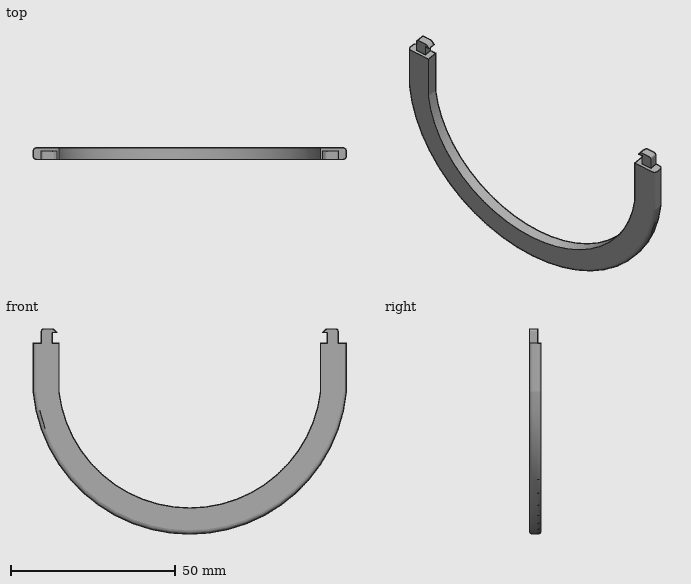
import cadquery as cq

width = 95.3
thickness = 3.6
height = 62.4

half_width = width / 2
leg_width = 7.9
inner_half_width = half_width - leg_width
bottom_width = 8.0
arc_start_z = 43.3
edge_radius = 1.1

tab_height = 4.3
tab_thickness = 2.6
tab_inset = 2.5
neck_width = 3.4
hook_reach = 1.4
hook_depth = 1.1
tab_corner_radius = 0.9

shoulder_z = height - tab_height
front_y = -thickness / 2


def front_sketch():
    """XZ workplane on the front face; extruding by a negative length goes toward the back."""
    return cq.Workplane("XZ", origin=(0, front_y, 0))


def u_solid(half_chord, bottom_z):
    """Filled U shape up to the shoulders."""
    return (
        front_sketch()
        .moveTo(-half_chord, shoulder_z)
        .lineTo(-half_chord, arc_start_z)
        .threePointArc((0, bottom_z), (half_chord, arc_start_z))
        .lineTo(half_chord, shoulder_z)
        .close()
        .extrude(-thickness)
    )


def make_bow():
    """U-shaped bar with its outer edges rounded at the front and back."""
    outer = u_solid(half_width, 0)
    outer = outer.faces("<Y or >Y").edges("not >Z").fillet(edge_radius)
    return outer.cut(u_solid(inner_half_width, bottom_width))


def make_left_tab():
    """Tab with a rounded outer corner and a 45-degree hook pointing inward."""
    outer_x = -half_width + tab_inset
    neck_x = outer_x + neck_width
    tip_x = neck_x + hook_reach
    hook_z = height - hook_depth
    tab = (
        front_sketch()
        .moveTo(outer_x, shoulder_z)
        .lineTo(outer_x, height)
        .lineTo(tip_x - hook_depth, height)
        .lineTo(tip_x, hook_z)
        .lineTo(neck_x, hook_z)
        .lineTo(neck_x, shoulder_z)
        .close()
        .extrude(-tab_thickness)
    )
    return tab.faces(">Z").edges("|Y").fillet(tab_corner_radius)


left_tab = make_left_tab()
right_tab = left_tab.mirror("YZ")
result = make_bow().union(left_tab).union(right_tab)